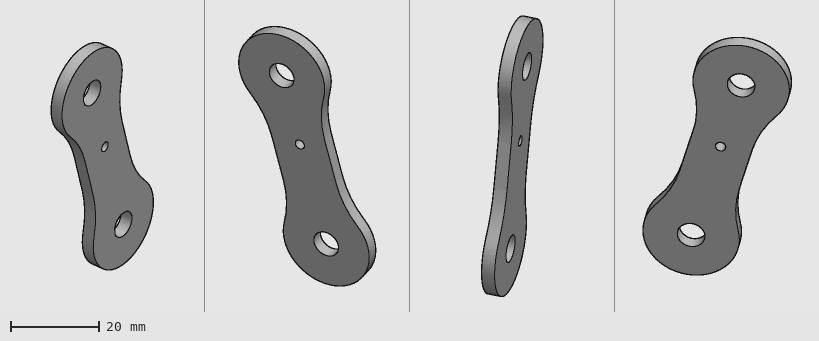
import cadquery as cq
import math

thickness = 3.17
end_radius = 11.1
pivot_spacing = 44.4
pivot_diameter = 6.35
pin_diameter = 2.38
pin_from_upper_pivot = 18.17
neck_half_width = 7.05
neck_blend_radius = 24.3
tilt_angle = 15.0

pivot_offset = pivot_spacing / 2
centre_distance = end_radius + neck_blend_radius
blend_centre_across = neck_half_width + neck_blend_radius
blend_reach = math.sqrt(centre_distance**2 - blend_centre_across**2)
blend_centre_along = pivot_offset - blend_reach
pin_along = pivot_offset - pin_from_upper_pivot

touch_across = blend_centre_across * end_radius / centre_distance
touch_along = pivot_offset - blend_reach * end_radius / centre_distance

blend_mid_angle = math.asin(blend_reach / centre_distance) / 2
mid_across = blend_centre_across - neck_blend_radius * math.cos(blend_mid_angle)
mid_along = blend_centre_along + neck_blend_radius * math.sin(blend_mid_angle)


def make_plate():
    """Upright dog-bone plate with round ends and a waisted neck."""
    return (
        cq.Workplane("YZ")
        .moveTo(neck_half_width, -blend_centre_along)
        .lineTo(neck_half_width, blend_centre_along)
        .threePointArc((mid_across, mid_along), (touch_across, touch_along))
        .threePointArc((0, pivot_offset + end_radius), (-touch_across, touch_along))
        .threePointArc((-mid_across, mid_along), (-neck_half_width, blend_centre_along))
        .lineTo(-neck_half_width, -blend_centre_along)
        .threePointArc((-mid_across, -mid_along), (-touch_across, -touch_along))
        .threePointArc((0, -pivot_offset - end_radius), (touch_across, -touch_along))
        .threePointArc((mid_across, -mid_along), (neck_half_width, -blend_centre_along))
        .close()
        .extrude(thickness)
    )


def make_hole(diameter, along):
    """Cutter for a through hole on the centreline of the upright link."""
    return cq.Workplane("YZ").center(0, along).circle(diameter / 2).extrude(thickness)


link = make_plate()
for pivot_along in (pivot_offset, -pivot_offset):
    link = link.cut(make_hole(pivot_diameter, pivot_along))
link = link.cut(make_hole(pin_diameter, pin_along))

result = link.rotate((0, 0, 0), (1, 0, 0), tilt_angle)